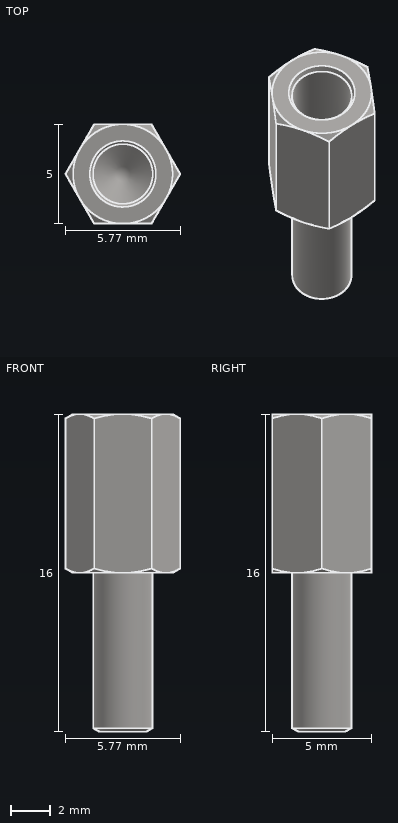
import cadquery as cq
import math

across_flats = 5.0
total_length = 16.0
hex_length = total_length / 2
corner_chamfer_angle = math.radians(30)

stud_diameter = 3.0
stud_tip_height = 0.2
stud_tip_inset = 0.34

bore_diameter = stud_diameter
bore_depth = 6.0
bore_mouth_widening = 0.16
bore_mouth_depth = 0.27
drill_point_angle = math.radians(118)

hex_bottom = total_length - hex_length
across_corners = across_flats / math.cos(math.pi / 6)


def make_hex_body():
    """Hexagonal prism with its corners turned conically at both ends."""
    prism = (
        cq.Workplane("XY", origin=(0, 0, hex_bottom))
        .polygon(6, across_corners)
        .extrude(hex_length)
    )
    face_radius = across_flats / 2
    corner_radius = across_corners / 2
    corner_drop = (corner_radius - face_radius) * math.tan(corner_chamfer_angle)
    turned_envelope = (
        cq.Workplane("XZ")
        .moveTo(0, hex_bottom)
        .lineTo(face_radius, hex_bottom)
        .lineTo(corner_radius, hex_bottom + corner_drop)
        .lineTo(corner_radius, total_length - corner_drop)
        .lineTo(face_radius, total_length)
        .lineTo(0, total_length)
        .close()
        .revolve(360, (0, 0, 0), (0, 1, 0))
    )
    return prism.intersect(turned_envelope)


def make_stud():
    """Round stud with a chamfered tip, standing on Z = 0."""
    radius = stud_diameter / 2
    return (
        cq.Workplane("XZ")
        .lineTo(radius - stud_tip_inset, 0)
        .lineTo(radius, stud_tip_height)
        .lineTo(radius, hex_bottom)
        .lineTo(0, hex_bottom)
        .close()
        .revolve(360, (0, 0, 0), (0, 1, 0))
    )


def make_bore():
    """Blind bore with a conical drill point and a chamfered mouth."""
    radius = bore_diameter / 2
    bore_bottom = total_length - bore_depth
    point_depth = radius / math.tan(drill_point_angle / 2)
    return (
        cq.Workplane("XZ")
        .moveTo(0, bore_bottom - point_depth)
        .lineTo(radius, bore_bottom)
        .lineTo(radius, total_length - bore_mouth_depth)
        .lineTo(radius + bore_mouth_widening, total_length)
        .lineTo(0, total_length)
        .close()
        .revolve(360, (0, 0, 0), (0, 1, 0))
    )


result = make_hex_body().union(make_stud()).cut(make_bore())